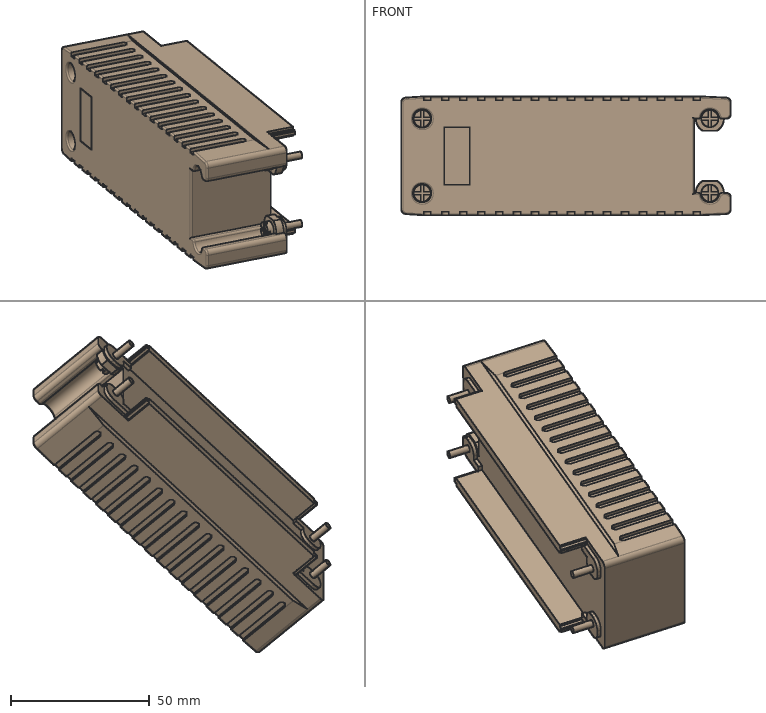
import cadquery as cq

LENGTH = 119.0
TOTAL_HEIGHT = 43.0
BODY_DEPTH = 32.2
BODY_HALF_HEIGHT = 21.1
CORNER_RADIUS = 1.9
FRONT_EDGE_RADIUS = 0.6

PANEL_HALF_HEIGHT = TOTAL_HEIGHT / 2
PANEL_CENTER_X = -1.4
PANEL_FLAT_LENGTH = 99.8
PANEL_FLAT_DEPTH = 24.6
PANEL_DEPTH = 25.8

SLOT_COUNT = 16
SLOT_WIDTH = 2.6
SLOT_END_Y = 21.7
SLOT_FLOOR_Z = 20.1
SLOT_PITCH = (PANEL_FLAT_LENGTH - SLOT_WIDTH) / (SLOT_COUNT - 1)

NOTCH_X = 46.3
NOTCH_HALF_HEIGHT = 13.3
NOTCH_TIP_RADIUS = 1.8
BORE_OUTER_LIP_RADIUS = 1.4
BORE_INNER_LIP_RADIUS = 1.0

SCREW_HALF_SPAN = 51.9
SCREW_Z = 13.5
BORE_RADIUS = 3.3
SEAT_THICKNESS = 3.0
SEAT_RADIUS = 5.1
SEAT_INNER_Z = 9.0
HEAD_RADIUS = 3.1
HEAD_HEIGHT = 2.4
HEAD_CROSS_WIDTH = 1.1
HEAD_CROSS_DEPTH = 1.0
SHANK_RADIUS = 1.3
SHANK_END_Y = 41.5

TOTAL_DEPTH = 42.6
FLANGE_INNER_Z = 17.5
FLANGE_HALF_LENGTH = 43.4
TONGUE_HALF_LENGTH = 45.1
TONGUE_THICKNESS = 1.8
TONGUE_CHAMFER = 0.4

PAD_HEIGHT = 1.4
PAD_LENGTH = 8.8
PAD_INNER_Z = 9.8
PAD_OUTER_Z = 18.9
PAD_CORNER_RADIUS = 3.7
PAD_BRIDGE_INNER_Z = 15.5

LABEL_CENTER_X = -39.3
LABEL_LENGTH = 9.2
LABEL_HEIGHT = 20.7
LABEL_DEPTH = 0.1

SEAT_Y = BODY_DEPTH - SEAT_THICKNESS
SCREW_POINTS = [
    (side * SCREW_HALF_SPAN, level * SCREW_Z)
    for side in (-1, 1)
    for level in (-1, 1)
]


def block(x_range, y_range, z_range):
    """Axis-aligned box between the given limits."""
    (x0, x1), (y0, y1), (z0, z1) = x_range, y_range, z_range
    return cq.Workplane("XY").box(x1 - x0, y1 - y0, z1 - z0, centered=False).translate((x0, y0, z0))


def rod(point, radius, y_start, y_end):
    """Cylinder along Y centred on the (x, z) point."""
    x, z = point
    return (
        cq.Workplane("XZ", origin=(x, y_start, z))
        .circle(radius)
        .extrude(y_start - y_end)
    )


def with_mirror(solid):
    """A solid above z = 0 joined with its mirror image below."""
    return solid.union(solid.mirror("XY"))


def housing():
    """Rounded block with the end notch, the screw bores and a rounded front rim."""
    half = LENGTH / 2
    body = block((-half, half), (0, BODY_DEPTH), (-BODY_HALF_HEIGHT, BODY_HALF_HEIGHT))
    body = body.edges("|Y").fillet(CORNER_RADIUS).union(grip_panels())
    body = body.cut(block((NOTCH_X, half), (0, BODY_DEPTH), (-NOTCH_HALF_HEIGHT, NOTCH_HALF_HEIGHT)))
    body = round_edges(body, half, NOTCH_TIP_RADIUS)
    for point in SCREW_POINTS:
        body = body.cut(rod(point, BORE_RADIUS, 0, SEAT_Y))
    lip_offset = (BORE_RADIUS**2 - (SCREW_Z - NOTCH_HALF_HEIGHT) ** 2) ** 0.5
    body = round_edges(body, SCREW_HALF_SPAN + lip_offset, BORE_OUTER_LIP_RADIUS)
    body = round_edges(body, SCREW_HALF_SPAN - lip_offset, BORE_INNER_LIP_RADIUS)
    return body.faces("<Y").edges().fillet(FRONT_EDGE_RADIUS)


def round_edges(body, x, radius):
    """Fillet the edges along Y where the notch sides pass the given x."""
    reach = 0.06
    z = NOTCH_HALF_HEIGHT
    for level in (-z, z):
        corner = cq.selectors.BoxSelector(
            (x - reach, -1.2, level - reach), (x + reach, BODY_DEPTH + 1.2, level + reach)
        )
        body = body.edges("|Y").edges(corner).fillet(radius)
    return body


def grip_panels():
    """Shallow raised panels that taper to the body at the ends and at the back."""
    reach = LENGTH / 2 - CORNER_RADIUS
    flat_start = PANEL_CENTER_X - PANEL_FLAT_LENGTH / 2
    flat_end = PANEL_CENTER_X + PANEL_FLAT_LENGTH / 2
    lengthwise = (
        cq.Workplane("XZ")
        .moveTo(-reach, 0)
        .lineTo(-reach, BODY_HALF_HEIGHT)
        .lineTo(flat_start, PANEL_HALF_HEIGHT)
        .lineTo(flat_end, PANEL_HALF_HEIGHT)
        .lineTo(reach, BODY_HALF_HEIGHT)
        .lineTo(reach, 0)
        .close()
        .extrude(-PANEL_DEPTH)
    )
    crosswise = (
        cq.Workplane("YZ")
        .moveTo(0, 0)
        .lineTo(0, PANEL_HALF_HEIGHT)
        .lineTo(PANEL_FLAT_DEPTH, PANEL_HALF_HEIGHT)
        .lineTo(PANEL_DEPTH, BODY_HALF_HEIGHT)
        .lineTo(PANEL_DEPTH, 0)
        .close()
        .extrude(LENGTH / 2, both=True)
    )
    return with_mirror(lengthwise.intersect(crosswise))


def grip_slots():
    """Row of round-ended slots, open at the front, in both panels."""
    radius = SLOT_WIDTH / 2
    first_x = PANEL_CENTER_X - (SLOT_COUNT - 1) * SLOT_PITCH / 2
    slots = cq.Workplane("XY", origin=(0, 0, SLOT_FLOOR_Z))
    for index in range(SLOT_COUNT):
        x = first_x + index * SLOT_PITCH
        slots = (
            slots.moveTo(x - radius, 0)
            .lineTo(x - radius, SLOT_END_Y - radius)
            .threePointArc((x, SLOT_END_Y), (x + radius, SLOT_END_Y - radius))
            .lineTo(x + radius, 0)
            .close()
        )
    slots = slots.extrude(PANEL_HALF_HEIGHT - SLOT_FLOOR_Z)
    return slots.union(slots.mirror("XY"))


def seats():
    """Screw seats that stand out of the notch sides at the back."""
    seat = rod((SCREW_HALF_SPAN, SCREW_Z), SEAT_RADIUS, SEAT_Y, BODY_DEPTH)
    keep = block(
        (SCREW_HALF_SPAN - SEAT_RADIUS, SCREW_HALF_SPAN + SEAT_RADIUS),
        (SEAT_Y, BODY_DEPTH),
        (SEAT_INNER_Z, SCREW_Z + SEAT_RADIUS),
    )
    return with_mirror(seat.intersect(keep))


def screw(point):
    """Cross-slotted head on the seat, with the shank out of the back."""
    x, z = point
    head_y = SEAT_Y - HEAD_HEIGHT
    cross = cq.Workplane("XZ", origin=(x, head_y, z))
    long_side = 2 * HEAD_RADIUS
    slot = cross.rect(long_side, HEAD_CROSS_WIDTH).extrude(-HEAD_CROSS_DEPTH)
    slot = slot.union(cross.rect(HEAD_CROSS_WIDTH, long_side).extrude(-HEAD_CROSS_DEPTH))
    head = rod(point, HEAD_RADIUS, head_y, SEAT_Y).cut(slot)
    return head.union(rod(point, SHANK_RADIUS, SEAT_Y, SHANK_END_Y))


def flanges():
    """Long flanges on the back with a chamfered tongue at both ends."""
    y_range = (BODY_DEPTH, TOTAL_DEPTH)
    middle_z = (FLANGE_INNER_Z + BODY_HALF_HEIGHT) / 2
    plate = block((-FLANGE_HALF_LENGTH, FLANGE_HALF_LENGTH), y_range, (FLANGE_INNER_Z, BODY_HALF_HEIGHT))
    tongue = block(
        (-TONGUE_HALF_LENGTH, TONGUE_HALF_LENGTH),
        y_range,
        (middle_z - TONGUE_THICKNESS / 2, middle_z + TONGUE_THICKNESS / 2),
    ).edges("|Y").chamfer(TONGUE_CHAMFER)
    return with_mirror(plate.union(tongue))


def pads():
    """Rounded pads around the shanks, each bridged to the end of a flange."""
    y_range = (BODY_DEPTH, BODY_DEPTH + PAD_HEIGHT)
    half = PAD_LENGTH / 2
    pad = block(
        (SCREW_HALF_SPAN - half, SCREW_HALF_SPAN + half), y_range, (PAD_INNER_Z, PAD_OUTER_Z)
    ).edges("|Y").fillet(PAD_CORNER_RADIUS)
    bridge = block((FLANGE_HALF_LENGTH, SCREW_HALF_SPAN), y_range, (PAD_BRIDGE_INNER_Z, PAD_OUTER_Z))
    pair = with_mirror(pad.union(bridge))
    return pair.union(pair.mirror("YZ"))


def label_recess():
    """Shallow rectangular recess in the front face."""
    return (
        cq.Workplane("XZ", origin=(LABEL_CENTER_X, 0, 0))
        .rect(LABEL_LENGTH, LABEL_HEIGHT)
        .extrude(-LABEL_DEPTH)
    )


result = housing().cut(grip_slots()).cut(label_recess())
result = result.union(seats()).union(flanges()).union(pads())
for screw_point in SCREW_POINTS:
    result = result.union(screw(screw_point))